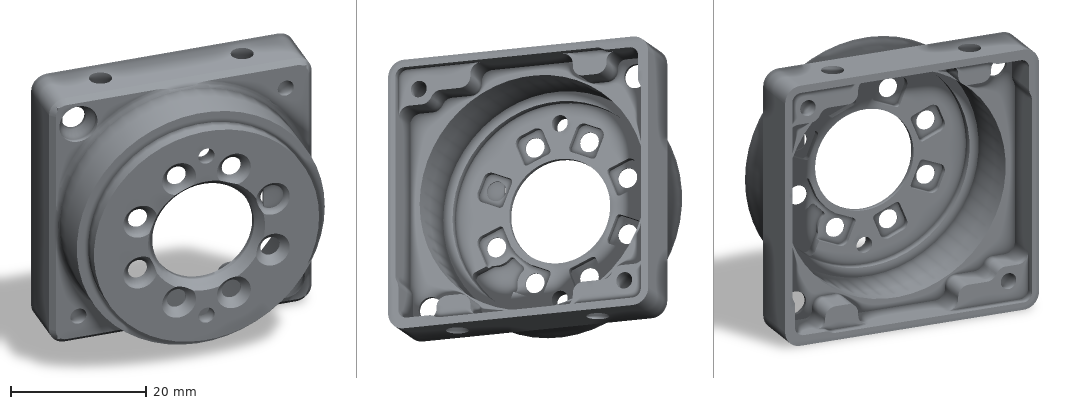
import cadquery as cq
import math

side = 41.25
half = side / 2
flange_depth = 8.7
edge_chamfer = 0.8
outer_radius = 2.48

boss_dia = 39.0
boss_end = 17.0
boss_root_fillet = 0.8
root_trim = 0.25
spigot_dia = 35.4
total_depth = 19.52

cavity_depth = 6.15
cavity_half = 19.5
thick_half = 19.03
step_start = 12.88
step_end = 13.75
cavity_radius = 1.35

pad_front = 1.4
pad_radius = 1.65
pad_foot_radius = 1.25
pad_face = 15.85
pad_inner = 8.15
short_pad_outer = 13.5
corner_pad_face = 13.9
pad_slope_start = 13.8
pad_slope_end = 14.9

bore_dia = 36.0
ledge_x = 15.9
ledge_dia = 33.0
floor_x = 17.2
center_hole_dia = 16.0
center_bevel_x = 18.05
center_bevel_dia = 18.4

corner_hole_pitch = 16.3
large_corner_dia = 3.67
small_hole_dia = 2.5
spot_face_dia = 6.0
countersink_x = 6.73
dowel_circle_radius = 13.5
wall_hole_dia = 3.43
wall_hole_x = 3.95
wall_hole_y = 11.15
wall_hole_depth = 3.3

pocket_count = 8
pocket_angle = 360 / pocket_count
pocket_circle_radius = 11.25
pocket_side = 4.65
pocket_depth = 1.0
pocket_outer_radius = 1.2
pocket_inner_radius = 0.58
pocket_hole_dia = 3.0
pocket_hole_straight = 0.15

relief_angle = -45.0
relief_inner_radius = 9.05
well_inner = 9.8
well_depth = 1.75
well_land_radius = 2.8
well_tip_radius = 0.5
relief_corner_radius = 0.75

web_angle = 22.5
web_thickness = 0.4
web_edge_offset = 1.2


def cylinder(diameter, start, end, y=0.0, z=0.0):
    """Solid cylinder along X between two X positions."""
    return (
        cq.Workplane("YZ", origin=(start, 0, 0))
        .center(y, z)
        .circle(diameter / 2)
        .extrude(end - start)
    )


def cone(start_dia, end_dia, start, end, y=0.0, z=0.0):
    """Solid cone frustum along X between two X positions."""
    return cq.Workplane(obj=cq.Solid.makeCone(
        start_dia / 2, end_dia / 2, end - start, cq.Vector(start, y, z), cq.Vector(1, 0, 0)))


def turned_about_x(solid, angle):
    return solid.rotate((0, 0, 0), (1, 0, 0), angle)


def prism(points, start, end):
    """Polygon in Y and Z extruded along X."""
    return cq.Workplane("YZ", origin=(start, 0, 0)).polyline(points).close().extrude(end - start)


def rounded_prism(corners, start, end):
    """Polygon of (y, z, corner radius) extruded along X, each corner rounded by a tangent arc."""
    outline = cq.Workplane("YZ", origin=(start, 0, 0))
    for index, (y, z, radius) in enumerate(corners):
        corner = cq.Vector(y, z, 0)
        to_previous = (cq.Vector(*corners[index - 1][:2], 0) - corner).normalized()
        to_next = (cq.Vector(*corners[(index + 1) % len(corners)][:2], 0) - corner).normalized()
        half_angle = to_previous.getAngle(to_next) / 2
        bisector = (to_previous + to_next).normalized()
        tangent_length = radius / math.tan(half_angle)
        arc_start = corner + to_previous * tangent_length
        arc_middle = corner + bisector * (radius / math.sin(half_angle) - radius)
        arc_end = corner + to_next * tangent_length
        if index == 0:
            outline = outline.moveTo(arc_start.x, arc_start.y)
        else:
            outline = outline.lineTo(arc_start.x, arc_start.y)
        outline = outline.threePointArc((arc_middle.x, arc_middle.y), (arc_end.x, arc_end.y))
    return outline.close().extrude(end - start)


def with_opposite(corners):
    """Outline completed by its half turn about X."""
    return corners + [(-y, -z, radius) for y, z, radius in corners]


def make_body():
    root_radius = boss_dia / 2 + boss_root_fillet
    root_end = flange_depth + boss_root_fillet
    arc_reach = boss_root_fillet * (1 - math.sqrt(0.5))
    boss = (
        cq.Workplane("XY")
        .moveTo(0, 0)
        .lineTo(0, root_radius)
        .lineTo(flange_depth, root_radius)
        .threePointArc(
            (flange_depth + arc_reach, boss_dia / 2 + arc_reach),
            (root_end, boss_dia / 2),
        )
        .lineTo(boss_end, boss_dia / 2)
        .lineTo(boss_end, spigot_dia / 2)
        .lineTo(total_depth, spigot_dia / 2)
        .lineTo(total_depth, 0)
        .close()
        .revolve(360, (0, 0, 0), (1, 0, 0))
    )
    envelope = (
        cq.Workplane("YZ")
        .rect(side, side)
        .extrude(flange_depth + root_trim)
        .edges("|X")
        .fillet(outer_radius)
        .faces(">X")
        .chamfer(edge_chamfer + root_trim)
    )
    trim_side = side - 2 * (edge_chamfer + root_trim)
    envelope = envelope.union(cq.Workplane("YZ").rect(trim_side, trim_side).extrude(total_depth))
    flange = envelope.intersect(cq.Workplane("YZ").rect(side, side).extrude(flange_depth))
    return flange.union(boss.intersect(envelope))


def make_cavity():
    """Shallow outline to the pad fronts, then the outline around the pads."""
    thick_corner = [
        (-thick_half, thick_half, cavity_radius),
        (-thick_half, step_end, pad_radius),
        (-cavity_half, step_start, pad_radius),
    ]
    entry = with_opposite([
        (cavity_half, cavity_half, cavity_radius),
        (-step_start, cavity_half, pad_radius),
        (-step_end, thick_half, pad_radius),
    ] + thick_corner)
    deep = with_opposite([
        (cavity_half, corner_pad_face, pad_radius),
        (pad_slope_end, corner_pad_face, pad_radius),
        (pad_slope_start, pad_face, pad_radius),
        (pad_inner, pad_face, pad_radius),
        (pad_inner, cavity_half, pad_radius),
        (-pad_inner, cavity_half, pad_radius),
        (-pad_inner, pad_face, pad_radius),
        (-short_pad_outer, pad_face, pad_radius),
        (-short_pad_outer, thick_half, pad_foot_radius),
    ] + thick_corner)
    return rounded_prism(entry, 0, pad_front).union(rounded_prism(deep, pad_front, cavity_depth))


def make_pocket_ring():
    floor = floor_x + pocket_depth
    pocket = cq.Workplane("XY").box(
        pocket_depth, pocket_side, pocket_side, centered=(False, True, True)
    ).translate((floor_x, pocket_circle_radius, 0))
    pocket = pocket.edges("|X and >Y").fillet(pocket_outer_radius)
    pocket = pocket.edges("|X and <Y").fillet(pocket_inner_radius)
    sink_start = floor + pocket_hole_straight
    sink_dia = pocket_hole_dia + 2 * (total_depth - sink_start)
    pocket = pocket.union(cylinder(pocket_hole_dia, floor, sink_start, pocket_circle_radius))
    pocket = pocket.union(cone(pocket_hole_dia, sink_dia, sink_start, total_depth, pocket_circle_radius))
    ring = cq.Workplane("XY")
    for index in range(pocket_count):
        ring = ring.add(turned_about_x(pocket, (index + 0.5) * pocket_angle))
    return ring.combine()


def make_relief():
    """Wedge between two pockets: shallow up to the inner arc, deeper around the hole lands."""
    half_angle = math.radians(pocket_angle / 2)
    half_pocket = pocket_side / 2
    floor = floor_x + pocket_depth
    land_y = pocket_circle_radius * math.cos(half_angle)
    land_z = pocket_circle_radius * math.sin(half_angle)
    side_y = land_y + half_pocket * math.sin(half_angle)
    side_z = land_z - half_pocket * math.cos(half_angle)
    far_y = side_y + ledge_dia * math.cos(half_angle)
    far_z = side_z + ledge_dia * math.sin(half_angle)
    edge_y = land_y + half_pocket * math.cos(half_angle)
    edge_z = land_z + half_pocket * math.sin(half_angle)
    corner_y = side_y + half_pocket * math.cos(half_angle)
    corner_z = side_z + half_pocket * math.sin(half_angle)
    upper_side = [(edge_y, edge_z), (corner_y, corner_z), (far_y, far_z)]
    lower_side = [(y, -z) for y, z in reversed(upper_side)]
    joining = prism(
        [(0, 0), (land_y, land_z)] + upper_side + lower_side + [(land_y, -land_z)], floor_x, floor
    ).cut(cylinder(2 * relief_inner_radius, floor_x, floor))
    well = prism(
        [
            (well_inner, land_z),
            (side_y, side_z),
            (far_y, far_z),
            (far_y, -far_z),
            (side_y, -side_z),
            (well_inner, -land_z),
        ],
        floor_x,
        floor_x + well_depth,
    )
    for z in (land_z, -land_z):
        well = well.cut(cylinder(2 * well_land_radius, floor_x, total_depth, land_y, z))
    well = well.edges("|X").edges("<Y").fillet(well_tip_radius)
    bore = turned_about_x(cylinder(ledge_dia, floor_x, total_depth), 180)
    relief = joining.union(well).intersect(bore)
    relief = relief.edges("|X").edges(">Y").fillet(relief_corner_radius)
    return turned_about_x(relief, relief_angle)


def make_center_hole():
    straight = cylinder(center_hole_dia, floor_x, center_bevel_x)
    return straight.union(cone(center_hole_dia, center_bevel_dia, center_bevel_x, total_depth))


def make_dowel_holes():
    upper = cylinder(small_hole_dia, floor_x, total_depth, 0, dowel_circle_radius)
    return upper.union(turned_about_x(upper, 180))


def make_corner_holes():
    """Two large countersunk holes and two small ones, all with a relief in the boss root."""
    sink_end = countersink_x + (spot_face_dia - large_corner_dia) / 2
    pitch = corner_hole_pitch
    large = (
        cylinder(large_corner_dia, pad_front, countersink_x, -pitch, pitch)
        .union(cone(large_corner_dia, spot_face_dia, countersink_x, sink_end, -pitch, pitch))
        .union(cylinder(spot_face_dia, sink_end, boss_end, -pitch, pitch))
    )
    small = (
        cylinder(small_hole_dia, pad_front, flange_depth, pitch, pitch)
        .union(cylinder(spot_face_dia, flange_depth, boss_end, pitch, pitch))
    )
    pair = large.union(small)
    return pair.union(turned_about_x(pair, 180))


def make_wall_holes():
    """Blind holes into the pads from the upper and lower sides."""
    upper = (
        cq.Workplane("XY", origin=(wall_hole_x, 0, half - wall_hole_depth))
        .pushPoints([(0, wall_hole_y), (0, -wall_hole_y)])
        .circle(wall_hole_dia / 2)
        .extrude(wall_hole_depth)
    )
    return upper.union(turned_about_x(upper, 180))


def make_web():
    """Thin plate across one pocket hole that leaves a narrow slit open."""
    angle = math.radians(web_angle)
    y = pocket_circle_radius * math.cos(angle)
    z = pocket_circle_radius * math.sin(angle)
    start = floor_x + pocket_depth + pocket_hole_straight
    plate_dia = pocket_hole_dia + 2 * web_thickness
    plate = cylinder(plate_dia, start, start + web_thickness, y, z)
    slit_side = cq.Workplane("XY").box(total_depth, plate_dia, plate_dia).translate(
        (total_depth / 2, y - web_edge_offset - plate_dia / 2, z))
    return plate.cut(slit_side)


stepped_bore = cylinder(bore_dia, cavity_depth, ledge_x).union(cylinder(ledge_dia, ledge_x, floor_x))
result = (
    make_body()
    .cut(make_cavity())
    .cut(stepped_bore)
    .cut(make_pocket_ring())
    .cut(make_relief())
    .cut(make_center_hole())
    .cut(make_dowel_holes())
    .cut(make_corner_holes())
    .cut(make_wall_holes())
    .union(make_web())
)